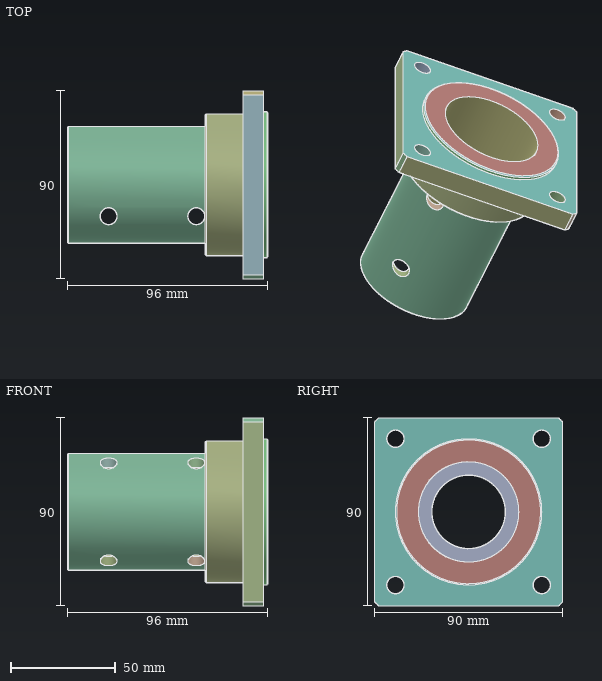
import cadquery as cq

total_length = 96.0
collar_start = 66.0
plate_start = 84.0
plate_thickness = 10.0
plate_end = plate_start + plate_thickness

tube_diameter = 56.0
collar_diameter = 68.0
spigot_diameter = 70.0
edge_chamfer = 0.6

plate_side = 90.0
plate_corner_chamfer = 2.0
bolt_hole_diameter = 8.2
bolt_spacing = 70.0

mouth_diameter = 35.0
mouth_depth = 6.0
bore_diameter = 48.0

cross_hole_diameter = 8.0
cross_hole_y = -15.0
first_cross_hole_x = 19.8
cross_hole_pitch = 42.0


def cylinder(diameter, start, end):
    """Cylinder along the X axis between two X positions."""
    return cq.Workplane("YZ", origin=(start, 0, 0)).circle(diameter / 2).extrude(end - start)


def make_plate():
    """Square plate with chamfered corners and four bolt holes."""
    plate = (
        cq.Workplane("YZ", origin=(plate_start, 0, 0))
        .rect(plate_side, plate_side)
        .extrude(plate_thickness)
        .edges("|X")
        .chamfer(plate_corner_chamfer)
    )
    return (
        plate.faces(">X")
        .workplane(origin=(0, 0, 0))
        .rect(bolt_spacing, bolt_spacing, forConstruction=True)
        .vertices()
        .hole(bolt_hole_diameter)
    )


def make_cross_hole(x):
    """Vertical cutter that passes through both walls of the tube."""
    return (
        cq.Workplane("XY", origin=(x, cross_hole_y, 0))
        .circle(cross_hole_diameter / 2)
        .extrude(tube_diameter / 2, both=True)
    )


tube = cylinder(tube_diameter, 0, collar_start).faces("<X").edges().chamfer(edge_chamfer)
collar = cylinder(collar_diameter, collar_start, plate_start).faces("<X").edges().chamfer(edge_chamfer)
spigot = cylinder(spigot_diameter, plate_end, total_length).faces(">X").edges().chamfer(edge_chamfer)
result = tube.union(collar).union(make_plate()).union(spigot)

result = result.cut(cylinder(mouth_diameter, 0, mouth_depth))
result = result.cut(cylinder(bore_diameter, mouth_depth, total_length))

for x in (first_cross_hole_x, first_cross_hole_x + cross_hole_pitch):
    result = result.cut(make_cross_hole(x))